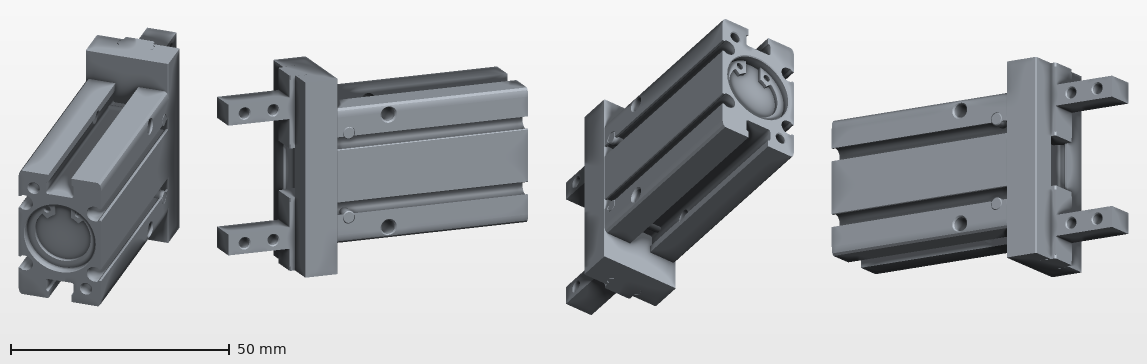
import cadquery as cq
import math


OVERALL_LENGTH = 71.1
WIDTH = 20.0
HALF_WIDTH = WIDTH / 2

HEAD_HEIGHT = 46.4
HEAD_REAR = 46.8
HEAD_FRONT = 54.75
HEAD_CHAMFER = 0.15

BODY_HALF_HEIGHT = 16.0
SIDE_FLAT_TOP = 14.0
SHOULDER_X = 9.75
SHOULDER_Z = 15.5
CORNER_X = SHOULDER_X - (BODY_HALF_HEIGHT - SHOULDER_Z)

SLOT_FLOOR_Z = 11.0
SLOT_LEDGE_Z = 14.2
SLOT_NECK = 5.55
SLOT_HEAD = 6.7
SLOT_ROUND = 0.5

GROOVE_DIAMETER = 3.8
GROOVE_X = 8.4
GROOVE_Z = 7.8
GROOVE_WALL_X = 9.0
GROOVE_LIP_X = 9.45
GROOVE_MOUTH = 3.0
GROOVE_LIP_CHAMFER = 0.15

BORE_DIAMETER = 17.0
BORE_CHAMFER = 0.2
RING_DEPTH = 2.0
RING_THICKNESS = 1.0
RING_INNER_RADIUS = 6.75
RING_GAP = 4.05
LUG_INNER_RADIUS = 5.1
LUG_EDGE_ANGLE = 43.0
LUG_HOLE_DIAMETER = 1.7
LUG_HOLE_X = 3.8
LUG_HOLE_Z = 5.9

SMALL_THREAD = 2.5
SMALL_MOUTH = 3.0
LARGE_THREAD = 3.3
LARGE_MOUTH = 4.0

REAR_HOLE_X = 6.3
REAR_HOLE_Z = 11.95
REAR_HOLE_DEPTH = 7.1
SIDE_HOLE_Y = 34.3
SIDE_HOLE_Z = 13.45

DOWEL_DIAMETER = 3.0
DOWEL_CHAMFER = 0.2
DOWEL_Y = 44.0
DOWEL_Z = 10.0

JAW_WIDTH = 7.1
JAW_BASE_REAR = 51.1
JAW_BASE_FRONT = 56.0
JAW_BASE_INNER_Z = 5.9
JAW_CORNER_CHAMFER = 0.3
JAW_CORNER_LENGTH = 1.0
RAIL_WIDTH = 8.8
RAIL_Y = 53.05
RAIL_THICKNESS = 2.1
RAIL_CHAMFER = 0.8
RAIL_CHANNEL_RADIUS = 0.7
FINGER_THICKNESS = 5.0
FINGER_Z = 15.4
FINGER_ROOT_FILLET = 0.2
FINGER_HOLE_FROM_TIP = (4.0, 11.0)


def along_y(sketch, start, end):
    """Turn an XZ-plane outline into a prism from Y = start to Y = end."""
    return sketch.extrude(start - end).translate((0, start, 0))


def block(x_range, y_range, z_range):
    size = [high - low for low, high in (x_range, y_range, z_range)]
    centre = tuple((low + high) / 2 for low, high in (x_range, y_range, z_range))
    return cq.Workplane("XY").box(*size).translate(centre)


def cylinder(diameter, length, start, direction):
    return cq.Workplane(obj=cq.Solid.makeCylinder(
        diameter / 2, length, cq.Vector(*start), cq.Vector(*direction)))


def mouth_cone(core, mouth, start, direction):
    """45 degree countersink that opens at start and narrows along direction."""
    return cq.Workplane(obj=cq.Solid.makeCone(
        mouth / 2, core / 2, (mouth - core) / 2, cq.Vector(*start), cq.Vector(*direction)))


def cross_hole(core, mouth, half_span, y, z):
    """Hole through along X, countersunk at both ends."""
    hole = cylinder(core, 2 * half_span, (-half_span, y, z), (1, 0, 0))
    for side in (-1, 1):
        hole = hole.union(mouth_cone(core, mouth, (side * half_span, y, z), (-side, 0, 0)))
    return hole


def rail_bar(z_range):
    """Square-cornered bar across both side rails of a jaw."""
    rail_y = (RAIL_Y - RAIL_THICKNESS / 2, RAIL_Y + RAIL_THICKNESS / 2)
    return block((-RAIL_WIDTH / 2, RAIL_WIDTH / 2), rail_y, z_range)



def body_section():
    """Body prism: side flats, rounded shoulders and 45 degree corners."""
    upper = (
        cq.Workplane("XZ")
        .moveTo(HALF_WIDTH, 0)
        .lineTo(HALF_WIDTH, SIDE_FLAT_TOP)
        .tangentArcPoint((SHOULDER_X, SHOULDER_Z), relative=False)
        .lineTo(CORNER_X, BODY_HALF_HEIGHT)
        .lineTo(0, BODY_HALF_HEIGHT)
        .lineTo(0, 0)
        .close()
    )
    quarter = along_y(upper, 0, HEAD_REAR)
    half = quarter.union(quarter.mirror("YZ"))
    return half.union(half.mirror("XY")).clean()


def guide_head():
    return (
        block((-HALF_WIDTH, HALF_WIDTH), (HEAD_REAR, HEAD_FRONT), (-HEAD_HEIGHT / 2, HEAD_HEIGHT / 2))
        .edges("|Z")
        .chamfer(HEAD_CHAMFER)
    )


def t_slot():
    """T-slot cutter for the top of the body."""
    undercut = block((-SLOT_HEAD / 2, SLOT_HEAD / 2), (0, HEAD_REAR), (SLOT_FLOOR_Z, SLOT_LEDGE_Z))
    undercut = undercut.edges("|Y").fillet(SLOT_ROUND)
    neck_x = (-SLOT_NECK / 2, SLOT_NECK / 2)
    neck = block(neck_x, (0, HEAD_REAR), (SLOT_FLOOR_Z + SLOT_ROUND, BODY_HALF_HEIGHT))
    return undercut.union(neck)


def sensor_groove():
    """Round-bottomed groove cutter with a narrower mouth, for the +X, +Z position."""
    radius = GROOVE_DIAMETER / 2
    half_mouth = GROOVE_MOUTH / 2
    outline = (
        cq.Workplane("XZ")
        .moveTo(GROOVE_X, GROOVE_Z + radius)
        .threePointArc((GROOVE_X - radius, GROOVE_Z), (GROOVE_X, GROOVE_Z - radius))
        .lineTo(GROOVE_WALL_X, GROOVE_Z - radius)
        .lineTo(GROOVE_LIP_X, GROOVE_Z - half_mouth)
        .lineTo(HALF_WIDTH - GROOVE_LIP_CHAMFER, GROOVE_Z - half_mouth)
        .lineTo(HALF_WIDTH, GROOVE_Z - half_mouth - GROOVE_LIP_CHAMFER)
        .lineTo(HALF_WIDTH, GROOVE_Z + half_mouth)
        .lineTo(GROOVE_LIP_X, GROOVE_Z + half_mouth)
        .lineTo(GROOVE_WALL_X, GROOVE_Z + radius)
        .close()
    )
    return along_y(outline, 0, HEAD_REAR)


def rear_bore():
    depth = RING_DEPTH + RING_THICKNESS
    bore = cylinder(BORE_DIAMETER, depth, (0, 0, 0), (0, 1, 0))
    mouth = BORE_DIAMETER + 2 * BORE_CHAMFER
    return bore.union(mouth_cone(BORE_DIAMETER, mouth, (0, 0, 0), (0, 1, 0)))


def retaining_ring():
    """Internal ring, open at the top, with a drilled lug on each side of the gap."""
    start = RING_DEPTH
    end = RING_DEPTH + RING_THICKNESS
    ring = along_y(cq.Workplane("XZ").circle(BORE_DIAMETER / 2).circle(RING_INNER_RADIUS), start, end)

    angle = math.radians(LUG_EDGE_ANGLE)
    reach = BORE_DIAMETER
    wedge = (
        cq.Workplane("XZ")
        .polyline([
            (0, 0),
            (reach * math.cos(angle), reach * math.sin(angle)),
            (0, reach),
            (-reach * math.cos(angle), reach * math.sin(angle)),
        ])
        .close()
    )
    lug_band = cq.Workplane("XZ").circle(BORE_DIAMETER / 2).circle(LUG_INNER_RADIUS)
    lugs = along_y(lug_band, start, end).intersect(along_y(wedge, start, end))

    ring = ring.union(lugs)
    ring = ring.cut(block((-RING_GAP / 2, RING_GAP / 2), (start, end), (0, BORE_DIAMETER)))
    for side in (-1, 1):
        place = (side * LUG_HOLE_X, start, LUG_HOLE_Z)
        ring = ring.cut(cylinder(LUG_HOLE_DIAMETER, RING_THICKNESS, place, (0, 1, 0)))
    return ring


def rear_hole(side):
    """Blind threaded hole; the two sit on opposite corners of the rear face."""
    place = (-side * REAR_HOLE_X, 0, side * REAR_HOLE_Z)
    hole = cylinder(SMALL_THREAD, REAR_HOLE_DEPTH, place, (0, 1, 0))
    return hole.union(mouth_cone(SMALL_THREAD, SMALL_MOUTH, place, (0, 1, 0)))


def dowel_hole(side):
    return cylinder(DOWEL_DIAMETER, WIDTH, (-HALF_WIDTH, DOWEL_Y, side * DOWEL_Z), (1, 0, 0))


def dowel(side):
    return dowel_hole(side).edges("<X or >X").chamfer(DOWEL_CHAMFER)


def guide_groove():
    """Jaw guide across the full height of the head, with round-cornered side channels."""
    half_height = HEAD_HEIGHT / 2
    z_range = (-half_height, half_height)
    channel = block((-JAW_WIDTH / 2, JAW_WIDTH / 2), (JAW_BASE_REAR, HEAD_FRONT), z_range)
    rails = rail_bar(z_range)
    return channel.union(rails.edges("|Z").fillet(RAIL_CHANNEL_RADIUS))


def make_housing():
    body = body_section()
    slot = t_slot()
    body = body.cut(slot).cut(slot.mirror("XY"))
    right_groove = sensor_groove()
    for groove in (right_groove, right_groove.mirror("YZ")):
        body = body.cut(groove).cut(groove.mirror("XY"))
    for side in (-1, 1):
        body = body.cut(cross_hole(LARGE_THREAD, LARGE_MOUTH, HALF_WIDTH, SIDE_HOLE_Y, side * SIDE_HOLE_Z))
        body = body.cut(rear_hole(side))
        body = body.cut(dowel_hole(side))
        body = body.union(dowel(side))
    body = body.cut(rear_bore()).union(retaining_ring())
    return body.union(guide_head().cut(guide_groove()))



def jaw_corner_bevels(base_z):
    """Cutter for the short bevels on the four corners of the jaw base front."""
    half_width = JAW_WIDTH / 2
    bevel = (
        cq.Workplane("XY")
        .polyline([
            (half_width, JAW_BASE_FRONT),
            (half_width - JAW_CORNER_CHAMFER, JAW_BASE_FRONT),
            (half_width, JAW_BASE_FRONT - JAW_CORNER_CHAMFER),
        ])
        .close()
        .extrude(JAW_CORNER_LENGTH)
    )
    pair = bevel.union(bevel.mirror("YZ"))
    inner = pair.translate((0, 0, base_z[0]))
    outer = pair.translate((0, 0, base_z[1] - JAW_CORNER_LENGTH))
    return inner.union(outer)


def make_jaw():
    """Upper jaw: a railed base in the guide groove and one drilled finger."""
    half_width = JAW_WIDTH / 2
    base_z = (JAW_BASE_INNER_Z, HEAD_HEIGHT / 2)
    finger_z = (FINGER_Z - FINGER_THICKNESS / 2, FINGER_Z + FINGER_THICKNESS / 2)

    base = block((-half_width, half_width), (JAW_BASE_REAR, JAW_BASE_FRONT), base_z)
    finger = block((-half_width, half_width), (RAIL_Y, OVERALL_LENGTH), finger_z)
    jaw = base.union(finger)
    near_root = cq.selectors.BoxSelector(
        (-half_width, JAW_BASE_FRONT - FINGER_ROOT_FILLET, finger_z[0] - FINGER_ROOT_FILLET),
        (half_width, JAW_BASE_FRONT + FINGER_ROOT_FILLET, finger_z[1] + FINGER_ROOT_FILLET))
    jaw = jaw.edges("|X").edges(near_root).fillet(FINGER_ROOT_FILLET)
    jaw = jaw.cut(jaw_corner_bevels(base_z))

    rails = rail_bar(base_z)
    jaw = jaw.union(rails.edges("|Z").chamfer(RAIL_CHAMFER))

    for from_tip in FINGER_HOLE_FROM_TIP:
        jaw = jaw.cut(cross_hole(SMALL_THREAD, SMALL_MOUTH, half_width, OVERALL_LENGTH - from_tip, FINGER_Z))
    return jaw


housing = make_housing()
upper_jaw = make_jaw()
jaws = [upper_jaw, upper_jaw.mirror("XY")]

result = cq.Compound.makeCompound([housing.solids().val(), *[jaw.solids().val() for jaw in jaws]])